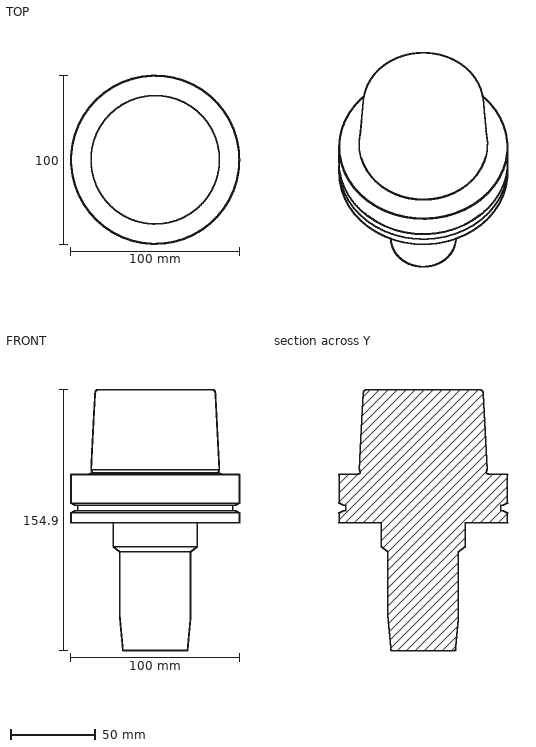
import cadquery as cq

total_height = 154.9
taper_height = 50.0
flange_height = 29.0
boss_height = 14.3
boss_chamfer_height = 3.0
stem_cone_height = 20.0
stem_section_count = 5

flange_radius = 50.0
taper_base_radius = 38.1
taper_top_radius = 35.6
boss_radius = 25.0
stem_radius = 21.0
stem_tip_radius = 19.2

taper_top_fillet = 2.0
flange_edge_chamfer = 0.3
tip_chamfer = 0.5

relief_height = 2.6
relief_depth = 0.8
relief_bottom_height = 0.6
collar_height = 0.2
collar_top_radius = 38.7
collar_base_radius = 39.3

groove_width = 5.9
groove_depth = 4.0
groove_flank_height = 1.4
groove_flank_depth = 2.5
groove_lower_land = 5.9

flange_top = total_height - taper_height
flange_bottom = flange_top - flange_height
boss_bottom = flange_bottom - boss_height
stem_top = boss_bottom - boss_chamfer_height


def revolve_profile(points):
    """Revolve a closed (radius, height) outline about Z, keeping every ring edge."""
    return cq.Workplane("XZ").polyline(points).close().revolve(360, (0, 0), (0, 1), clean=False)


def make_taper():
    """Taper with a rounded top, a relieved foot and a low collar."""
    relief_radius = taper_base_radius - relief_depth
    taper = revolve_profile([
        (0, flange_top),
        (collar_base_radius, flange_top),
        (collar_top_radius, flange_top + collar_height),
        (relief_radius, flange_top + relief_bottom_height),
        (taper_base_radius, flange_top + relief_height),
        (taper_top_radius, total_height),
        (0, total_height),
    ])
    return taper.faces(">Z").edges().fillet(taper_top_fillet)


def make_flange():
    """Flange disc with a gripper groove that has sloping flanks and a stepped-in floor."""
    flange = cq.Workplane("XY").workplane(offset=flange_bottom).circle(flange_radius).extrude(flange_height)
    flange = flange.faces(">Z").edges().chamfer(flange_edge_chamfer)
    groove_bottom = flange_bottom + groove_lower_land
    groove_top = groove_bottom + groove_width
    floor_radius = flange_radius - groove_depth
    flank_radius = flange_radius - groove_flank_depth
    groove = revolve_profile([
        (floor_radius, groove_bottom + groove_flank_height),
        (flank_radius, groove_bottom + groove_flank_height),
        (flange_radius, groove_bottom),
        (flange_radius + groove_depth, groove_bottom),
        (flange_radius + groove_depth, groove_top),
        (flange_radius, groove_top),
        (flank_radius, groove_top - groove_flank_height),
        (floor_radius, groove_top - groove_flank_height),
    ])
    return flange.cut(groove)


def make_stem():
    """Boss and stem, ending in a cone divided into equal ring sections."""
    section_height = stem_cone_height / stem_section_count
    section_step = (stem_radius - stem_tip_radius) / stem_section_count
    points = [
        (0, flange_bottom),
        (boss_radius, flange_bottom),
        (boss_radius, boss_bottom),
        (stem_radius, stem_top),
    ]
    for i in range(stem_section_count + 1):
        points.append((stem_radius - i * section_step, stem_cone_height - i * section_height))
    points.append((0, 0))
    return revolve_profile(points).faces("<Z").edges().chamfer(tip_chamfer)


result = make_flange().union(make_taper()).union(make_stem(), clean=False)